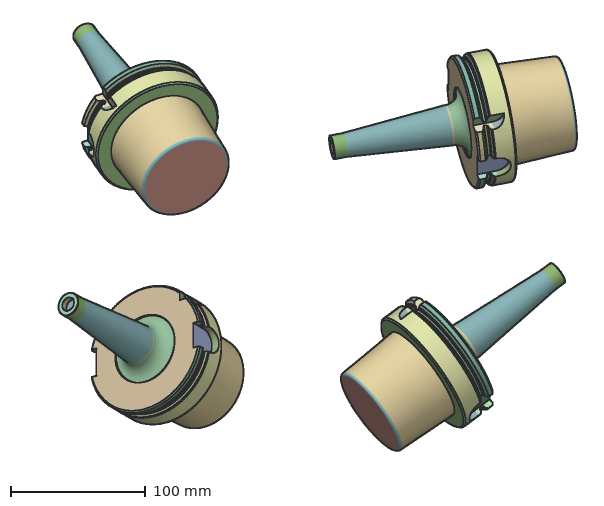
import cadquery as cq
import math

total_length = 179.0
tip_length = 9.7
neck_cylinder_start = 88.8
flange_front = 100.0
flange_back = 129.0

tip_diameter = 18.0
neck_diameter = 30.6
neck_blend_radius = 11.1
neck_blend_start = 90.0
recess_rim_width = 0.4
tip_bevel = 0.27
bore_diameter = 10.5
bore_depth = 5.4

flange_diameter = 100.0
flange_bevel = 1.3

groove_centre = 108.8
groove_mouth_width = 6.5
channel_width = 3.8
channel_top_radius = 48.0
channel_floor_radius = 46.0
channel_floor_bevel = 0.9
groove_front_bevel_length = 0.5
groove_back_bevel_length = 1.0
groove_edge_bevel_depth = 0.4

shank_front_diameter = 76.3
shank_taper = 0.1
shank_edge_radius = 2.1

slot_end = 124.4
slot_floor_offset = 43.7
front_slot_width = 20.0
back_slot_width = 22.2
slot_corner_radius = front_slot_width / 2
notch_offset = 31.5

flange_radius = flange_diameter / 2
neck_radius = neck_diameter / 2
tip_radius = tip_diameter / 2


def make_turned_body():
    """Revolve the stem, flange and shank in one half profile about X.

    The neck blend runs out in a shallow recess sunk into the flange face.
    """
    shank_front_radius = shank_front_diameter / 2
    shank_back_radius = shank_front_radius - shank_taper * (total_length - flange_back) / 2
    recess_floor = neck_blend_start + neck_blend_radius
    recess_floor_radius = neck_radius + neck_blend_radius
    blend_offset = neck_blend_radius * math.sqrt(0.5)
    blend_middle = (
        neck_blend_start + blend_offset,
        recess_floor_radius - blend_offset,
    )
    profile = (
        cq.Workplane("XY")
        .moveTo(0, 0)
        .lineTo(0, tip_radius - tip_bevel)
        .lineTo(tip_bevel, tip_radius)
        .lineTo(tip_length, tip_radius)
        .lineTo(neck_cylinder_start, neck_radius)
        .lineTo(neck_blend_start, neck_radius)
        .threePointArc(blend_middle, (recess_floor, recess_floor_radius))
        .lineTo(flange_front, recess_floor_radius + recess_rim_width)
        .lineTo(flange_front, flange_radius - flange_bevel)
        .lineTo(flange_front + flange_bevel, flange_radius)
        .lineTo(flange_back - flange_bevel, flange_radius)
        .lineTo(flange_back, flange_radius - flange_bevel)
        .lineTo(flange_back, shank_front_radius)
        .lineTo(total_length, shank_back_radius)
        .lineTo(total_length, 0)
        .close()
    )
    body = profile.revolve(360, (0, 0, 0), (1, 0, 0))
    return body.faces(">X").edges().fillet(shank_edge_radius)


def make_groove():
    """Ring cutter for the gripper groove; its back edge is eased more than its front edge."""
    half_mouth = groove_mouth_width / 2
    half_channel = channel_width / 2
    mouth_radius = flange_radius - groove_edge_bevel_depth
    floor_corner_radius = channel_floor_radius + channel_floor_bevel
    half_floor = half_channel - channel_floor_bevel
    points = [
        (-half_mouth - groove_front_bevel_length, flange_radius),
        (-half_mouth, mouth_radius),
        (-half_channel, channel_top_radius),
        (-half_channel, floor_corner_radius),
        (-half_floor, channel_floor_radius),
        (half_floor, channel_floor_radius),
        (half_channel, floor_corner_radius),
        (half_channel, channel_top_radius),
        (half_mouth, mouth_radius),
        (half_mouth + groove_back_bevel_length, flange_radius),
    ]
    return (
        cq.Workplane("XY")
        .polyline([(groove_centre + x, r) for x, r in points])
        .close()
        .revolve(360, (0, 0, 0), (1, 0, 0))
    )


def make_drive_slot(width, side):
    """Rounded-end slot cutter open at the flange front; side is the sign of Y."""
    depth = flange_radius - slot_floor_offset
    corner_centre_x = slot_end - slot_corner_radius
    half_flat = width / 2 - slot_corner_radius
    diagonal = slot_corner_radius * math.sqrt(0.5)
    outline = (
        cq.Workplane("XZ", origin=(0, side * (slot_floor_offset + depth / 2), 0))
        .moveTo(flange_front, -width / 2)
        .lineTo(corner_centre_x, -width / 2)
        .threePointArc((corner_centre_x + diagonal, -half_flat - diagonal), (slot_end, -half_flat))
    )
    if half_flat > 0:
        outline = outline.lineTo(slot_end, half_flat)
    return (
        outline
        .threePointArc((corner_centre_x + diagonal, half_flat + diagonal), (corner_centre_x, width / 2))
        .lineTo(flange_front, width / 2)
        .close()
        .extrude(depth / 2, both=True)
    )


def make_corner_notch():
    """Notch cutter at -Y +Z whose floor curves upwards at its far end."""
    size = flange_radius - notch_offset
    return (
        cq.Workplane("XY")
        .box(slot_end - flange_front, size, size, centered=False)
        .edges(">X and <Z")
        .fillet(slot_corner_radius)
        .translate((flange_front, -flange_radius, notch_offset))
    )


def make_bore():
    """Shallow blind bore in the tip."""
    return cq.Workplane("YZ").circle(bore_diameter / 2).extrude(bore_depth)


result = (
    make_turned_body()
    .cut(make_groove())
    .cut(make_drive_slot(front_slot_width, -1))
    .cut(make_drive_slot(back_slot_width, 1))
    .cut(make_corner_notch())
    .cut(make_bore())
)